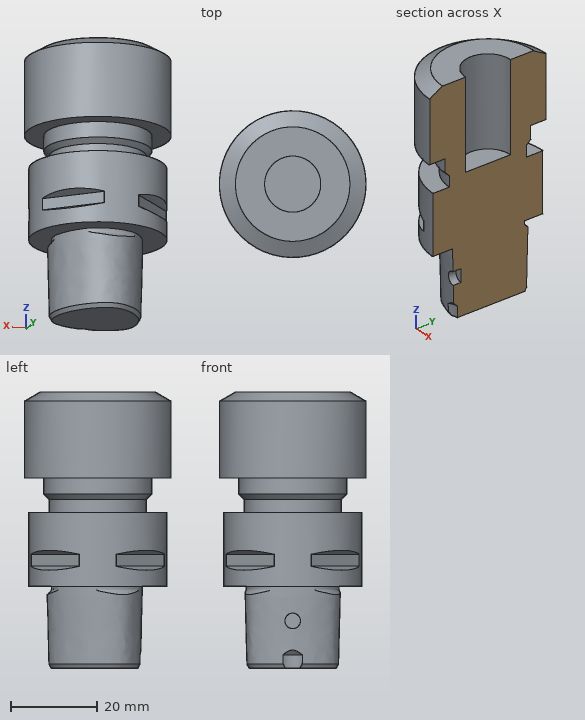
import cadquery as cq
import math

total_height = 64.0
shank_chamfer_height = 1.0
taper_top = 16.5
flange_bottom = 19.0
flange_top = 36.1
collar_chamfer_bottom = 39.1
collar_chamfer_top = 40.3
nut_bottom = 44.0
nut_chamfer_bottom = 61.8

nut_diameter = 34.0
nut_face_diameter = 26.5
collar_diameter = 25.0
neck_diameter = 22.5
flange_diameter = 32.0
bore_diameter = 13.0
bore_depth = 25.6

shank_radius = 11.0
lobe_height = 0.7
taper_per_side = 1 / 40
shank_chamfer_width = 0.6
lobe_direction = math.pi / 2

relief_radius = 10.75
relief_blend_radius = 0.8
relief_blend_top = 18.4
relief_outer_radius = 12.8

groove_count = 4
groove_start_angle = 45.0
groove_floor_distance = 13.8
groove_length = 15.6
groove_floor_width = 2.7
groove_mouth_width = 4.6
groove_height = 25.0

pin_hole_diameter = 3.6
pin_hole_height = 11.0
pin_hole_depth = 2.3
key_radius = 3.2
key_wall_height = 3.15
key_axis_offset = 2.1
key_tip_angle = math.radians(45)


def lobed_wire(radius, height):
    """Constant-width curve with three lobes, one pointing along +Y."""
    def point(t):
        angle = 2 * math.pi * t
        support = radius + lobe_height * math.cos(3 * (angle - lobe_direction))
        slope = -3 * lobe_height * math.sin(3 * (angle - lobe_direction))
        return (
            support * math.cos(angle) - slope * math.sin(angle),
            support * math.sin(angle) + slope * math.cos(angle),
            height,
        )

    curve = cq.Workplane("XY").parametricCurve(point, N=90, start=0, stop=1)
    return curve.val()


def lobed_section(lower_radius, lower_height, upper_radius, upper_height):
    lower = lobed_wire(lower_radius, lower_height)
    upper = lobed_wire(upper_radius, upper_height)
    return cq.Workplane(obj=cq.Solid.makeLoft([lower, upper], True))


def revolve_profile(points):
    return cq.Workplane("XZ").polyline(points).close().revolve(360, (0, 0, 0), (0, 1, 0))


def make_turned_body():
    neck = neck_diameter / 2
    collar = collar_diameter / 2
    flange = flange_diameter / 2
    nut = nut_diameter / 2
    body = revolve_profile([
        (0, flange_bottom),
        (flange, flange_bottom),
        (flange, flange_top),
        (neck, flange_top),
        (neck, collar_chamfer_bottom),
        (collar, collar_chamfer_top),
        (collar, nut_bottom),
        (nut, nut_bottom),
        (nut, nut_chamfer_bottom),
        (nut_face_diameter / 2, total_height),
        (0, total_height),
    ])
    return body.faces(">Z").workplane().hole(bore_diameter, bore_depth)


def make_shank():
    chamfer_top_radius = shank_radius - (taper_top - shank_chamfer_height) * taper_per_side
    end_radius = chamfer_top_radius - shank_chamfer_width
    chamfer = lobed_section(end_radius, 0, chamfer_top_radius, shank_chamfer_height)
    taper = lobed_section(chamfer_top_radius, shank_chamfer_height, shank_radius, taper_top)
    root = lobed_section(shank_radius, taper_top, shank_radius, flange_bottom)
    return chamfer.union(taper).union(root)


def make_lobe_relief():
    """Ring cut: a 45 degree cone blending through an arc into a cylinder."""
    blend_x = relief_radius + relief_blend_radius
    diagonal = relief_blend_radius * math.sqrt(0.5)
    arc_end = (blend_x - diagonal, relief_blend_top - diagonal)
    arc_middle = (
        blend_x - relief_blend_radius * math.cos(math.pi / 8),
        relief_blend_top - relief_blend_radius * math.sin(math.pi / 8),
    )
    cone_drop = relief_outer_radius - arc_end[0]
    return (
        cq.Workplane("XZ")
        .moveTo(relief_radius, flange_bottom)
        .lineTo(relief_radius, relief_blend_top)
        .threePointArc(arc_middle, arc_end)
        .lineTo(relief_outer_radius, arc_end[1] - cone_drop)
        .lineTo(relief_outer_radius, flange_bottom)
        .close()
        .revolve(360, (0, 0, 0), (0, 1, 0))
    )


def make_gripper_groove():
    """Trapezoidal groove with shallow end walls, running along Y on the +X side."""
    rim = flange_diameter / 2
    floor = groove_floor_width / 2
    mouth = groove_mouth_width / 2
    return (
        cq.Workplane("XZ")
        .polyline([
            (groove_floor_distance, groove_height - floor),
            (rim, groove_height - mouth),
            (rim, groove_height + mouth),
            (groove_floor_distance, groove_height + floor),
        ])
        .close()
        .extrude(groove_length / 2, both=True)
    )


def make_pin_hole():
    """Blind radial hole in the -Y side."""
    surface = shank_radius - lobe_height - (taper_top - pin_hole_height) * taper_per_side
    return (
        cq.Workplane("XZ", origin=(0, pin_hole_depth - surface, pin_hole_height))
        .circle(pin_hole_diameter / 2)
        .extrude(shank_radius)
    )


def make_key_notch():
    """Upright drilled notch with a conical top, open to the -Y side and the end."""
    surface = shank_radius - lobe_height - (taper_top - key_wall_height) * taper_per_side
    tip_height = key_wall_height + key_radius * math.tan(key_tip_angle)
    notch = revolve_profile([
        (0, 0),
        (key_radius, 0),
        (key_radius, key_wall_height),
        (0, tip_height),
    ])
    return notch.translate((0, -surface - key_axis_offset, 0))


shank = make_shank().cut(make_lobe_relief()).cut(make_pin_hole()).cut(make_key_notch())
result = make_turned_body().union(shank)

for index in range(groove_count):
    angle = groove_start_angle + index * 360 / groove_count
    result = result.cut(make_gripper_groove().rotate((0, 0, 0), (0, 0, 1), angle))